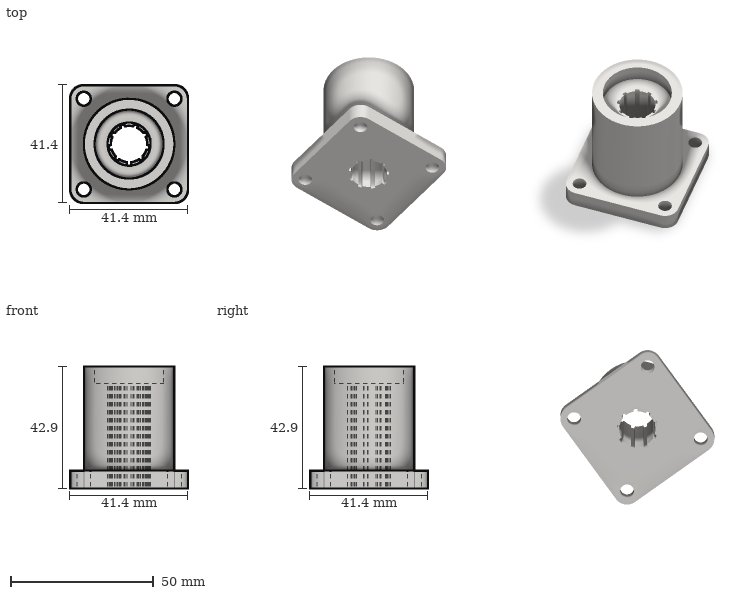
import cadquery as cq

flange_side = 41.4
flange_thickness = 6.35
bolt_spacing = 31.8
bolt_hole_diameter = 4.8
corner_radius = (flange_side - bolt_spacing) / 2

total_height = 42.85
barrel_diameter = 31.8
recess_diameter = 24.2
recess_depth = 6.0
recess_floor = total_height - recess_depth

liner_outer_diameter = 15.1
liner_bore_diameter = 12.7
groove_count = 9
groove_width = 1.5
groove_root_diameter = 14.3
groove_pitch_angle = 360 / groove_count
slit_angle = -90


def make_housing():
    """Square flange with a round barrel, bored through and recessed at the top."""
    flange = (
        cq.Workplane("XY")
        .rect(flange_side, flange_side)
        .extrude(flange_thickness)
        .edges("|Z")
        .fillet(corner_radius)
    )
    barrel = cq.Workplane("XY").circle(barrel_diameter / 2).extrude(total_height)
    bolt_holes = (
        cq.Workplane("XY")
        .rect(bolt_spacing, bolt_spacing, forConstruction=True)
        .vertices()
        .circle(bolt_hole_diameter / 2)
        .extrude(flange_thickness)
    )
    liner_bore = cq.Workplane("XY").circle(liner_outer_diameter / 2).extrude(total_height)
    recess = (
        cq.Workplane("XY")
        .workplane(offset=recess_floor)
        .circle(recess_diameter / 2)
        .extrude(recess_depth)
    )
    return flange.union(barrel).cut(bolt_holes).cut(liner_bore).cut(recess)


def make_groove_bar(length, angle):
    """Upright bar running radially from the axis in the given direction."""
    return (
        cq.Workplane("XY")
        .center(length / 2, 0)
        .rect(length, groove_width)
        .extrude(recess_floor)
        .rotate((0, 0, 0), (0, 0, 1), angle)
    )


def make_liner():
    """Split sleeve with evenly spaced lengthwise grooves in its bore."""
    liner = (
        cq.Workplane("XY")
        .circle(liner_outer_diameter / 2)
        .circle(liner_bore_diameter / 2)
        .extrude(recess_floor)
    )
    groove_limit = cq.Workplane("XY").circle(groove_root_diameter / 2).extrude(recess_floor)
    for index in range(1, groove_count):
        bar = make_groove_bar(liner_outer_diameter, slit_angle + index * groove_pitch_angle)
        liner = liner.cut(bar.intersect(groove_limit))
    slit = make_groove_bar(liner_outer_diameter, slit_angle)
    return liner.cut(slit)


housing = make_housing()
liner = make_liner()

result = cq.Compound.makeCompound([housing.val(), liner.val()])